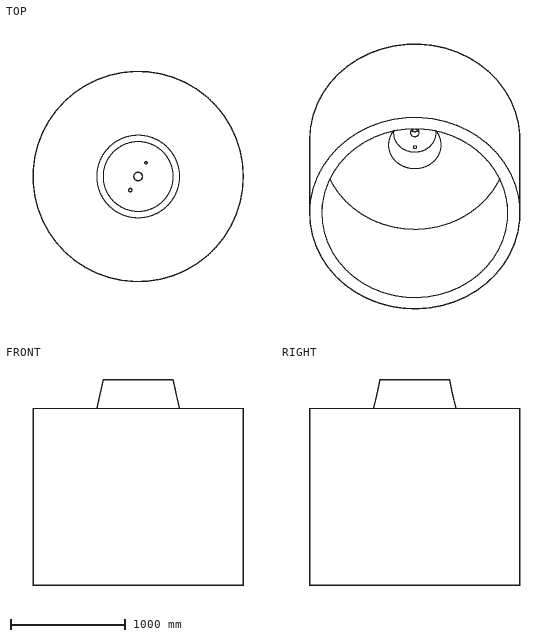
import cadquery as cq
import math

drum_diameter = 1830.99
cavity_diameter = 1615.09
total_height = 1789.71
wall = (drum_diameter - cavity_diameter) / 2

neck_height = 250.0
neck_base_diameter = 720.0
neck_top_diameter = 608.0
neck_cavity_base_diameter = 456.11
neck_cavity_top_diameter = 367.59
drum_height = total_height - neck_height

drum_ceiling = drum_height - wall
neck_ceiling = total_height - wall

centre_hole_diameter = 73.03
large_port_diameter = 28.57
small_port_diameter = 19.05
port_circle_radius = 136.5
small_port_angle = 60.0
large_port_angle = small_port_angle + 180.0


def make_body():
    """Outer drum with its tapered neck."""
    drum_radius = drum_diameter / 2
    return (
        cq.Workplane("XZ")
        .lineTo(drum_radius, 0)
        .lineTo(drum_radius, drum_height)
        .lineTo(neck_base_diameter / 2, drum_height)
        .lineTo(neck_top_diameter / 2, total_height)
        .lineTo(0, total_height)
        .close()
        .revolve(360, (0, 0), (0, 1))
    )


def make_cavity():
    """Inner space, open at the bottom, that narrows into the neck."""
    cavity_radius = cavity_diameter / 2
    return (
        cq.Workplane("XZ")
        .lineTo(cavity_radius, 0)
        .lineTo(cavity_radius, drum_ceiling)
        .lineTo(neck_cavity_base_diameter / 2, drum_ceiling)
        .lineTo(neck_cavity_top_diameter / 2, neck_ceiling)
        .lineTo(0, neck_ceiling)
        .close()
        .revolve(360, (0, 0), (0, 1))
    )


def make_roof_hole(diameter, radius=0.0, angle=0.0):
    """Cutter for a vertical hole from the neck's top face into the cavity, placed by polar position."""
    x = radius * math.cos(math.radians(angle))
    y = radius * math.sin(math.radians(angle))
    return (
        cq.Workplane("XY", origin=(x, y, neck_ceiling))
        .circle(diameter / 2)
        .extrude(wall)
    )


result = (
    make_body()
    .cut(make_cavity())
    .cut(make_roof_hole(centre_hole_diameter))
    .cut(make_roof_hole(large_port_diameter, port_circle_radius, large_port_angle))
    .cut(make_roof_hole(small_port_diameter, port_circle_radius, small_port_angle))
)